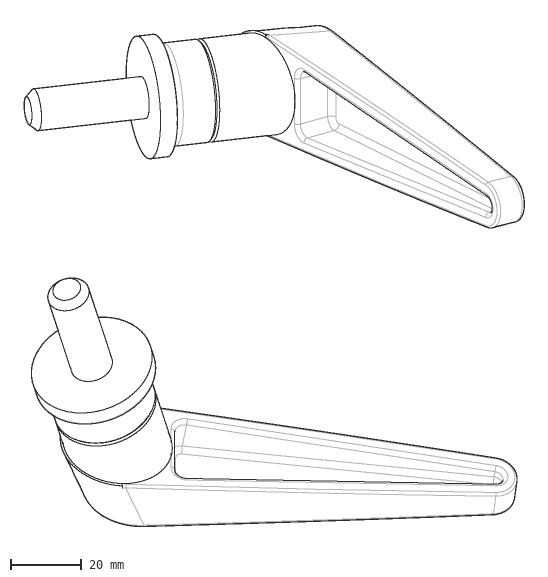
import cadquery as cq
import math

stud_radius = 6.0
stud_length = 34.0
stud_tip_radius = 4.0
stud_tip_length = 2.3
flange_radius = 17.5
flange_thickness = 5.0
collar_radius = 14.8
cove_radius = 2.5
joint_height = 17.7
joint_chamfer = 0.6

cap_radius = 9.3
cap_root = 41.6
cap_top = 57.0
cap_fillet = 1.5

hub_radius = 15.6
hub_base_center = -0.3
hub_lean = 5.2
tip_radius = 7.0
tip_center = 99.5
tip_level = 77.6
tip_lean = 17.0
base_level = 25.0
upper_level = 87.6
lower_plane_height = 35.3
lower_slope = 19.5
upper_plane_height = 54.6
upper_slope = 14.9
upper_fillet = 1.5
lower_fillet = 0.8
lower_fillet_start = 1.3

pocket_start = 16.5
pocket_tip_center = 107.9
pocket_start_half_width = 10.4
pocket_tip_radius = 2.5
pocket_corner_radius = 3.1
floor_thickness = 5.0
pocket_reach = 16.3
pocket_rim_fillet = 1.3
pocket_floor_fillet = 1.6

trim_reach = 250.4


def rise(angle):
    return math.tan(math.radians(angle))


def tapered_outline(plane, wide_x, wide_radius, narrow_x, narrow_radius):
    """Two circles of different radius joined by their common tangents."""
    lean = math.asin((wide_radius - narrow_radius) / (narrow_x - wide_x))
    along, across = math.sin(lean), math.cos(lean)
    wide = (wide_x + wide_radius * along, wide_radius * across)
    narrow = (narrow_x + narrow_radius * along, narrow_radius * across)
    return (
        plane.moveTo(*wide)
        .lineTo(*narrow)
        .threePointArc((narrow_x + narrow_radius, 0), (narrow[0], -narrow[1]))
        .lineTo(wide[0], -wide[1])
        .threePointArc((wide_x - wide_radius, 0), wide)
        .close()
    )


def lever_section(level):
    """Closed lever outline in the horizontal plane Y = level."""
    hub_x = hub_base_center + (level - base_level) * rise(hub_lean)
    tip_x = tip_center - (level - tip_level) * rise(tip_lean)
    plane = cq.Workplane(cq.Plane(origin=(0, level, 0), xDir=(1, 0, 0), normal=(0, 1, 0)))
    return tapered_outline(plane, hub_x, hub_radius, tip_x, tip_radius).wires().val()


def make_clamp_stud():
    profile = (
        cq.Workplane("XY")
        .moveTo(0, -stud_length)
        .lineTo(stud_tip_radius, -stud_length)
        .lineTo(stud_radius, -stud_length + stud_tip_length)
        .lineTo(stud_radius, 0)
        .lineTo(flange_radius, 0)
        .lineTo(flange_radius, flange_thickness)
        .lineTo(collar_radius + cove_radius, flange_thickness)
        .radiusArc((collar_radius, flange_thickness + cove_radius), cove_radius)
        .lineTo(collar_radius, joint_height - joint_chamfer)
        .lineTo(collar_radius - joint_chamfer, joint_height)
        .lineTo(0, joint_height)
        .close()
    )
    return profile.revolve(360, (0, 0, 0), (0, 1, 0))


def sloping_face_edges(body, side, slope):
    """Edges of the uppermost (side 1) or lowermost (side -1) face with the given slope."""
    normal = cq.Vector(-side * rise(slope), side, 0)
    return body.faces(cq.selectors.DirectionMinMaxSelector(normal, True)).edges()


def make_arm():
    outer = cq.Workplane(cq.Solid.makeLoft([lever_section(base_level), lever_section(upper_level)], True))
    arm = outer.cut(trim_block(lower_plane_height, lower_slope, -1))
    arm = arm.cut(trim_block(upper_plane_height, upper_slope, 1))
    arm = sloping_face_edges(arm, 1, upper_slope).fillet(upper_fillet)
    rounded = sloping_face_edges(arm, -1, lower_slope).fillet(lower_fillet)
    hub_side = cq.Workplane("XY").box(trim_reach, trim_reach, trim_reach).translate(
        (lower_fillet_start - trim_reach / 2, 0, 0)
    )
    return rounded.cut(hub_side).union(arm.intersect(hub_side))


def sloping_plane(height, slope, side):
    """Plane through the axis at a height; its normal points up (side 1) or down (side -1)."""
    return cq.Plane(
        origin=(0, height, 0),
        xDir=(1, rise(slope), 0),
        normal=(-side * rise(slope), side, 0),
    )


def trim_block(height, slope, side):
    plane = sloping_plane(height, slope, side)
    return cq.Workplane(plane).rect(2 * trim_reach, 2 * trim_reach).extrude(trim_reach)


def make_pocket():
    spread = math.atan((pocket_start_half_width - pocket_tip_radius) / (pocket_tip_center - pocket_start))
    shoulder_x = pocket_tip_center + pocket_tip_radius * math.sin(spread)
    shoulder_z = pocket_tip_radius * math.cos(spread)
    corner_x = pocket_start + pocket_corner_radius
    side_x = corner_x + pocket_corner_radius * math.sin(spread)
    side_z = shoulder_z + (shoulder_x - side_x) * math.tan(spread)
    corner_z = side_z - pocket_corner_radius * math.cos(spread)
    tool = (
        cq.Workplane(sloping_plane(lower_plane_height, lower_slope, 1))
        .moveTo(side_x, side_z)
        .lineTo(shoulder_x, shoulder_z)
        .threePointArc((pocket_tip_center + pocket_tip_radius, 0), (shoulder_x, -shoulder_z))
        .lineTo(side_x, -side_z)
        .radiusArc((pocket_start, -corner_z), pocket_corner_radius)
        .lineTo(pocket_start, corner_z)
        .radiusArc((side_x, side_z), pocket_corner_radius)
        .close()
        .extrude(pocket_reach)
    )
    tool = tool.cut(trim_block(upper_plane_height - floor_thickness, upper_slope, 1))
    return sloping_face_edges(tool, 1, upper_slope).fillet(pocket_floor_fillet)


def cut_pocket(arm):
    hollow = arm.cut(make_pocket())
    normal = cq.Vector(rise(lower_slope), -1, 0)
    rim_face = hollow.faces(cq.selectors.DirectionMinMaxSelector(normal, True))
    rim_loop = max(rim_face.vals(), key=lambda face: len(face.innerWires())).innerWires()[0]
    return hollow.newObject(rim_loop.Edges()).fillet(pocket_rim_fillet)


def horizontal_disc(radius, bottom, top):
    plane = cq.Plane(origin=(0, bottom, 0), xDir=(1, 0, 0), normal=(0, 1, 0))
    return cq.Workplane(plane).circle(radius).extrude(top - bottom)


def make_lever():
    neck = horizontal_disc(collar_radius, joint_height, upper_plane_height)
    neck = neck.faces("<Y").chamfer(joint_chamfer)
    neck = neck.cut(trim_block(lower_plane_height, lower_slope, 1))
    cap = horizontal_disc(cap_radius, cap_root, cap_top)
    cap = cap.faces(">Y").edges().fillet(cap_fillet)
    return cut_pocket(make_arm()).union(neck).union(cap)


clamp_stud = make_clamp_stud()
lever = make_lever()
result = cq.Compound.makeCompound([clamp_stud.val(), *lever.vals()])